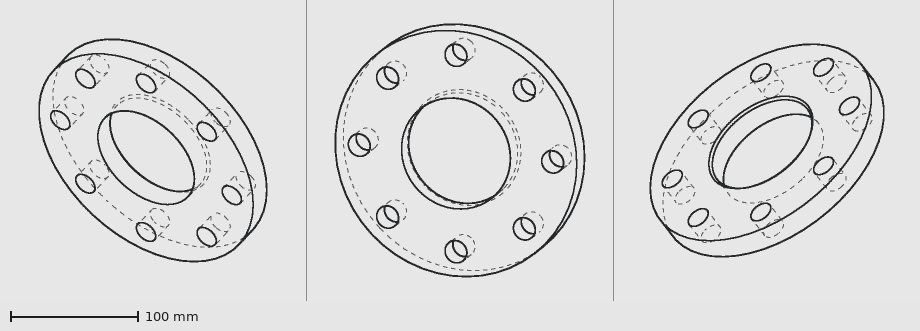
import cadquery as cq

outer_diameter = 200.0
thickness = 20.0
bore_diameter = 90.0
bore_chamfer = 2.0

bolt_circle_diameter = 160.0
bolt_hole_diameter = 18.0
bolt_hole_count = 8


def flange_ring():
    """Flat ring from Y = -thickness to Y = 0, its bore chamfered at the +Y face."""
    disc = cq.Workplane("XZ").circle(outer_diameter / 2).extrude(thickness)
    bore = cq.Workplane("XZ").circle(bore_diameter / 2).extrude(thickness)
    bore_mouth = (
        cq.Workplane("XZ")
        .circle(bore_diameter / 2 + bore_chamfer)
        .workplane(offset=bore_chamfer)
        .circle(bore_diameter / 2)
        .loft()
    )
    return disc.cut(bore).cut(bore_mouth)


def bolt_holes():
    """Cylinders that cut the bolt holes through the full thickness."""
    return (
        cq.Workplane("XZ")
        .polarArray(bolt_circle_diameter / 2, 0, 360, bolt_hole_count)
        .circle(bolt_hole_diameter / 2)
        .extrude(thickness)
    )


result = flange_ring().cut(bolt_holes())